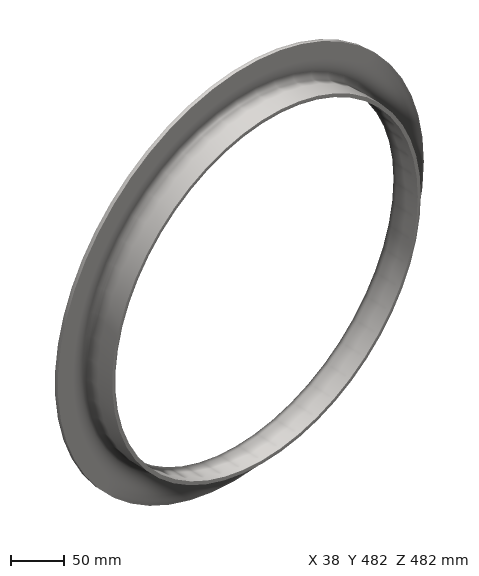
import cadquery as cq

flange_diameter = 482.0
collar_outer_diameter = 406.4
collar_bore_diameter = 398.4
overall_length = 38.0
inner_bend_radius = 10.0

wall = (collar_outer_diameter - collar_bore_diameter) / 2
outer_bend_radius = inner_bend_radius - wall
flange_radius = flange_diameter / 2
collar_radius = collar_outer_diameter / 2
bore_radius = collar_bore_diameter / 2

face_x = -overall_length / 2
collar_end_x = face_x + overall_length
flange_back_x = face_x + wall
bend_end_x = face_x + inner_bend_radius
bend_center_radius = bore_radius + inner_bend_radius


def collar_section():
    """Half section in the XY plane: X is the axis, Y is the distance from it."""
    return (
        cq.Workplane("XY")
        .moveTo(face_x, flange_radius)
        .lineTo(face_x, bend_center_radius)
        .radiusArc((bend_end_x, bore_radius), -inner_bend_radius)
        .lineTo(collar_end_x, bore_radius)
        .lineTo(collar_end_x, collar_radius)
        .lineTo(bend_end_x, collar_radius)
        .radiusArc((flange_back_x, bend_center_radius), outer_bend_radius)
        .lineTo(flange_back_x, flange_radius)
        .close()
    )


result = collar_section().revolve(360, (0, 0, 0), (1, 0, 0))